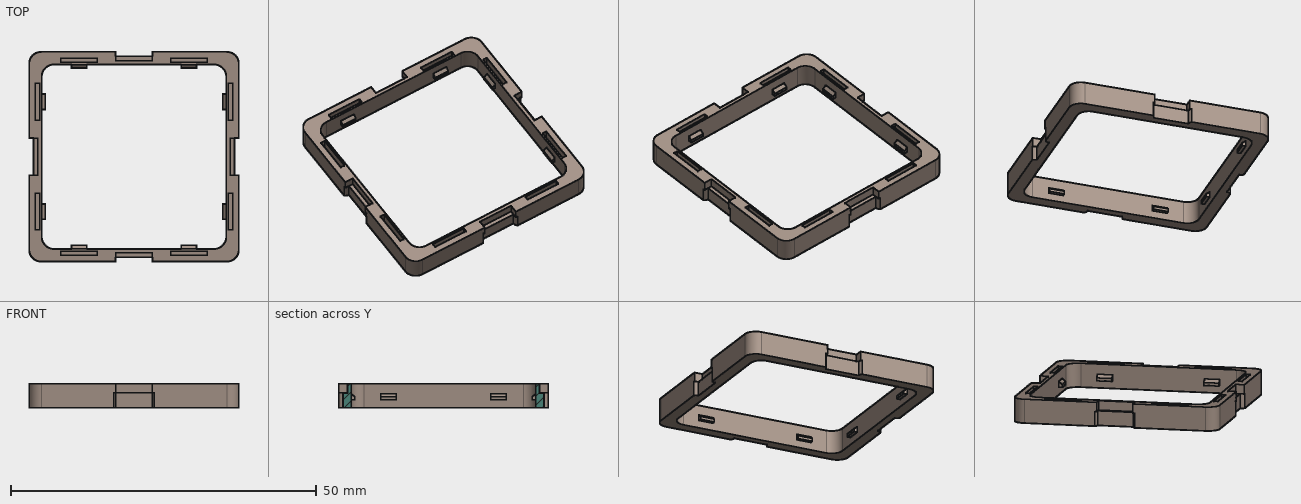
import cadquery as cq
import math

outer_side = 34.4
height = 4.0
wall = 2.1
corner_radius = 2.0
outer_half = outer_side / 2
inner_side = outer_side - 2 * wall
inner_half = inner_side / 2

notch_width = 6.05
upper_notch_depth = 1.45
lower_notch_depth = 0.725
notch_step_z = 2.45
mouth_width = 6.7

feature_offset = 9.0
slot_length = 6.0
slot_width = 0.7
slot_inset = 1.05
slot_depth = 3.0

nub_length = 2.55
nub_reach = 0.6
nub_bottom_z = 1.3
nub_root_height = 1.0
nub_tip_height = 0.5

side_count = 4
overlap = 0.2


def rounded_square(side):
    return cq.Workplane("XY").rect(side, side).extrude(height).edges("|Z").fillet(corner_radius)


def upper_notch():
    """Straight cutter for the upper, deeper part of the notch on the -Y side."""
    return (
        cq.Workplane("XY", origin=(0, -outer_half, notch_step_z))
        .rect(notch_width, 2 * upper_notch_depth)
        .extrude(height - notch_step_z + overlap)
    )


def lower_notch():
    """Cutter for the lower part on the -Y side, whose ends curve outward to a wider mouth."""
    half_width = notch_width / 2
    half_mouth = mouth_width / 2
    flare = half_mouth - half_width
    flare_radius = (flare**2 + lower_notch_depth**2) / (2 * flare)
    mid_angle = math.asin(lower_notch_depth / flare_radius) / 2
    mid_x = half_width + flare_radius * (1 - math.cos(mid_angle))
    back_y = -outer_half + lower_notch_depth
    mid_y = back_y - flare_radius * math.sin(mid_angle)
    return (
        cq.Workplane("XY")
        .moveTo(-half_width, back_y)
        .lineTo(half_width, back_y)
        .threePointArc((mid_x, mid_y), (half_mouth, -outer_half))
        .lineTo(-half_mouth, -outer_half)
        .threePointArc((-mid_x, mid_y), (-half_width, back_y))
        .close()
        .extrude(notch_step_z)
    )


def slot(x):
    """Cutter for a blind slot in the top face along the -Y side."""
    slot_mid_y = -outer_half + slot_inset + slot_width / 2
    return (
        cq.Workplane("XY", origin=(x, slot_mid_y, height - slot_depth))
        .rect(slot_length, slot_width)
        .extrude(slot_depth + overlap)
    )


def nub(x):
    """Snap nub on the inner wall of the -Y side, with a flat underside and a sloping top."""
    root_y = -inner_half
    tip_y = root_y + nub_reach
    root_top_z = nub_bottom_z + nub_root_height
    tip_top_z = nub_bottom_z + nub_tip_height
    profile = [
        (root_y - overlap, nub_bottom_z),
        (tip_y, nub_bottom_z),
        (tip_y, tip_top_z),
        (root_y, root_top_z),
        (root_y - overlap, root_top_z),
    ]
    return cq.Workplane("YZ", origin=(x - nub_length / 2, 0, 0)).polyline(profile).close().extrude(nub_length)


def on_side(shape, index):
    """Turn a -Y side feature about the frame axis onto another side."""
    return shape.rotate((0, 0, 0), (0, 0, 1), index * 360 / side_count)


result = rounded_square(outer_side).cut(rounded_square(inner_side))
for side in range(side_count):
    result = result.cut(on_side(upper_notch(), side)).cut(on_side(lower_notch(), side))
    for x in (-feature_offset, feature_offset):
        result = result.cut(on_side(slot(x), side)).union(on_side(nub(x), side))